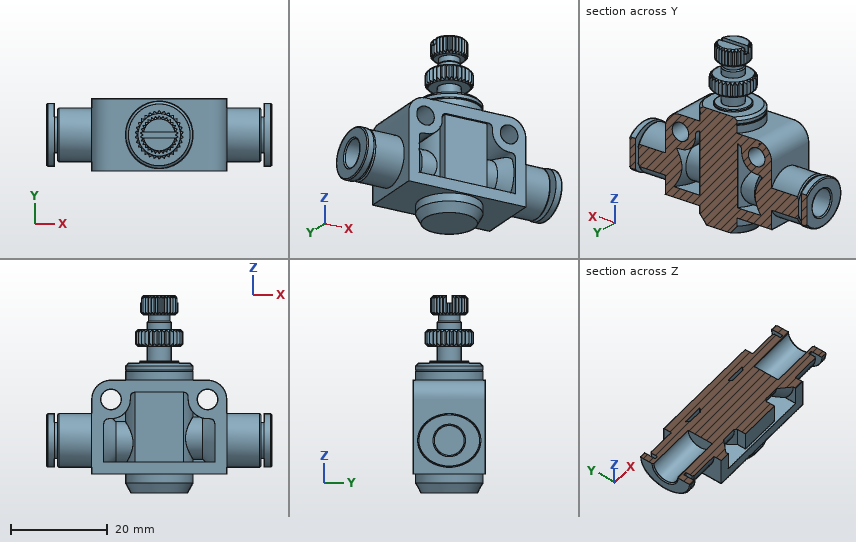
import cadquery as cq
import math


body_length = 28.0
body_depth = 15.0
body_top = 12.5
body_bottom = -7.0
lug_radius = 4.0
lug_x = body_length / 2 - lug_radius
lug_z = body_top - lug_radius
mount_hole_dia = 4.2

frame_wall = 2.5
pocket_half_width = body_length / 2 - frame_wall
pocket_top = body_top - frame_wall
pocket_bottom = body_bottom + frame_wall
pocket_neck_half_width = lug_x - lug_radius
pocket_shoulder = lug_z - lug_radius
pocket_fillet = 1.0
pocket_depth = body_depth - frame_wall
label_half_width = 5.0

port_wall_radius = 4.4
port_wall_offset = 0.5
flare_length = 2.5
flare_start = pocket_half_width - flare_length

housing_radius = 7.0
base_bottom = -10.9
base_taper_start = -8.8
base_tip_radius = 5.85
cap_top = 16.0
cap_chamfer = 0.6
seam_z = 14.45
seam_half_width = 0.15
seam_depth = 0.1
collar_radius = 4.1
collar_top = 16.5
collar_chamfer = 0.2
stem_radius = 2.5
stem_top = 24.75
stem_chamfer = 0.3
stem_neck_radius = 2.25

knurl_teeth = 30
knurl_chamfer = 0.6
nut_bottom = 19.5
nut_top = 23.0
nut_radius = 5.0
nut_root_radius = 4.45
head_bottom = 26.0
head_top = 30.0
head_radius = 3.9
head_root_radius = 3.4
slot_width = 1.2
slot_depth = 1.5

overall_length = 46.7
port_radius = 5.6
port_end = 21.1
port_chamfer = 0.3
sleeve_radius = 3.75
ring_width = 13.1
ring_height = 11.1
ring_thickness = 1.6
ring_chamfer = 0.25
bore_radius = 3.1
bore_chamfer = 0.27
bore_depth = 12.0


def cylinder_x(radius, length):
    """Cylinder along +X starting at the middle of the part."""
    return cq.Workplane("YZ").circle(radius).extrude(length)


def make_block():
    height = body_top - body_bottom
    mid_z = (body_top + body_bottom) / 2
    block = cq.Workplane("XY").box(body_length, body_depth, height).translate((0, 0, mid_z))
    return block.edges("|Y and >Z").fillet(lug_radius)


def make_pocket():
    """Pocket cutter, sunk from the front face towards +Y around the two mounting lugs."""
    arc_mid = lug_radius * math.sqrt(0.5)
    outline = (
        cq.Workplane("XZ", origin=(0, -body_depth / 2, 0))
        .moveTo(-pocket_half_width, pocket_bottom)
        .lineTo(pocket_half_width, pocket_bottom)
        .lineTo(pocket_half_width, pocket_shoulder)
        .lineTo(lug_x, pocket_shoulder)
        .threePointArc((lug_x - arc_mid, lug_z - arc_mid), (pocket_neck_half_width, lug_z))
        .lineTo(pocket_neck_half_width, pocket_top)
        .lineTo(-pocket_neck_half_width, pocket_top)
        .lineTo(-pocket_neck_half_width, lug_z)
        .threePointArc((-lug_x + arc_mid, lug_z - arc_mid), (-lug_x, pocket_shoulder))
        .lineTo(-pocket_half_width, pocket_shoulder)
        .close()
    )
    pocket = outline.extrude(-pocket_depth)
    outer_corners = cq.selectors.BoxSelector(
        (-body_length, -body_depth, pocket_shoulder - pocket_fillet / 2),
        (body_length, body_depth, pocket_shoulder + pocket_fillet / 2),
    )
    corners = pocket.edges("|Y").edges(outer_corners).edges("<X or >X")
    pocket = corners.fillet(pocket_fillet)
    return pocket.edges("|Y and >Z").fillet(pocket_fillet)


def make_pocket_core():
    """Material left standing in the pocket: valve housing, label pad and port walls."""
    height = body_top - body_bottom
    base = cq.Workplane("XY", origin=(0, 0, body_bottom))
    core = base.circle(housing_radius).extrude(height)
    core = core.union(base.rect(2 * label_half_width, 2 * housing_radius).extrude(height))
    for side in (-1, 1):
        wall = (
            cq.Workplane("XY")
            .lineTo(0, port_wall_radius)
            .lineTo(flare_start, port_wall_radius)
            .lineTo(pocket_half_width, port_wall_radius + flare_length)
            .lineTo(pocket_half_width, 0)
            .close()
            .revolve(360, (0, 0, 0), (1, 0, 0))
        )
        if side < 0:
            wall = wall.mirror("YZ")
        core = core.union(wall.translate((0, 0, side * port_wall_offset)))
    return core


def make_body():
    core = make_pocket_core()
    body = make_block().cut(make_pocket().cut(core))
    holes = (
        cq.Workplane("XZ")
        .pushPoints([(-lug_x, lug_z), (lug_x, lug_z)])
        .circle(mount_hole_dia / 2)
        .extrude(body_depth, both=True)
    )
    return body.cut(holes)


def make_valve_column():
    """Base plug, housing, cap, collar and stem turned as one, less the stretch inside the block."""
    cap_edge = cap_top - cap_chamfer
    stem_tip = (head_bottom + head_top) / 2
    profile = [
        (0, base_bottom),
        (base_tip_radius, base_bottom),
        (housing_radius, base_taper_start),
        (housing_radius, seam_z - seam_half_width),
        (housing_radius - seam_depth, seam_z - seam_half_width),
        (housing_radius - seam_depth, seam_z + seam_half_width),
        (housing_radius, seam_z + seam_half_width),
        (housing_radius, cap_edge),
        (housing_radius - cap_chamfer, cap_top),
        (collar_radius, cap_top),
        (collar_radius, collar_top - collar_chamfer),
        (collar_radius - collar_chamfer, collar_top),
        (stem_radius, collar_top),
        (stem_radius, stem_top - stem_chamfer),
        (stem_neck_radius, stem_top),
        (stem_neck_radius, stem_tip),
        (0, stem_tip),
    ]
    column = cq.Workplane("XZ").polyline(profile).close().revolve(360, (0, 0, 0), (0, 1, 0))
    return column.cut(make_block())


def make_knurl(tip_radius, root_radius, bottom, top):
    """Disc with V-shaped teeth and both rims chamfered, one tooth pointing along +Y."""
    points = []
    for step in range(2 * knurl_teeth):
        angle = math.pi / 2 + step * math.pi / knurl_teeth
        radius = tip_radius if step % 2 == 0 else root_radius
        points.append((radius * math.cos(angle), radius * math.sin(angle)))
    teeth = cq.Workplane("XY", origin=(0, 0, bottom)).polyline(points).close().extrude(top - bottom)
    envelope = cq.Workplane("XY", origin=(0, 0, bottom)).circle(tip_radius).extrude(top - bottom)
    return teeth.intersect(envelope.faces("<Z or >Z").chamfer(knurl_chamfer))


def make_head():
    head = make_knurl(head_radius, head_root_radius, head_bottom, head_top)
    slot = cq.Workplane("XY", origin=(0, 0, head_top - slot_depth))
    return head.cut(slot.rect(2 * head_radius, slot_width).extrude(slot_depth))


def make_port():
    """Port on the +X side: barrel, release sleeve and oval release ring."""
    barrel = cylinder_x(port_radius, port_end).faces(">X").chamfer(port_chamfer)
    ring_start = overall_length / 2 - ring_thickness
    sleeve = cylinder_x(sleeve_radius, ring_start + ring_thickness / 2)
    ring = (
        cq.Workplane("YZ", origin=(ring_start, 0, 0))
        .ellipse(ring_width / 2, ring_height / 2)
        .extrude(ring_thickness)
        .faces(">X")
        .chamfer(ring_chamfer)
    )
    block_span = cq.Workplane("XY").box(body_length, body_depth, ring_width)
    return barrel.union(sleeve).cut(block_span).union(ring)


def make_bore():
    """Tube bore cutter on the +X side, with a chamfered mouth."""
    end = overall_length / 2
    profile = [
        (end - bore_depth, 0),
        (end - bore_depth, bore_radius),
        (end - bore_chamfer, bore_radius),
        (end, bore_radius + bore_chamfer),
        (end, 0),
    ]
    return cq.Workplane("XY").polyline(profile).close().revolve(360, (0, 0, 0), (1, 0, 0))


part = make_body().union(make_valve_column())
part = part.union(make_knurl(nut_radius, nut_root_radius, nut_bottom, nut_top))
part = part.union(make_head())
for turn in (0, 180):
    port = make_port().rotate((0, 0, 0), (0, 0, 1), turn)
    bore = make_bore().rotate((0, 0, 0), (0, 0, 1), turn)
    part = part.union(port).cut(bore)

result = part